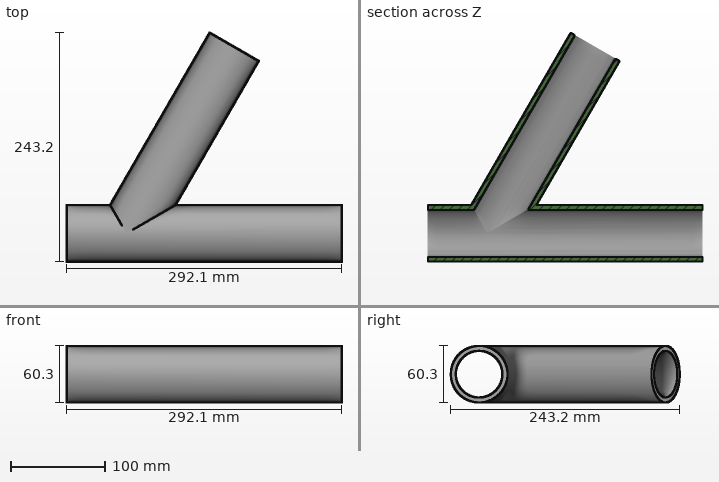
import cadquery as cq
import math

outer_diameter = 60.325
bore_diameter = 49.25

run_length = 292.1

branch_length = 228.6
branch_angle = 60.0
branch_position = 63.5

run_start = cq.Vector(0, 0, 0)
run_direction = cq.Vector(1, 0, 0)
junction = cq.Vector(branch_position, 0, 0)
branch_direction = cq.Vector(
    math.cos(math.radians(branch_angle)),
    math.sin(math.radians(branch_angle)),
    0,
)


def run_cylinder(diameter):
    """Cylinder over the full length of the run."""
    return cq.Workplane(cq.Solid.makeCylinder(diameter / 2, run_length, run_start, run_direction))


def branch_cylinder(diameter):
    """Cylinder from the junction on the run axis to the free end of the branch."""
    return cq.Workplane(cq.Solid.makeCylinder(diameter / 2, branch_length, junction, branch_direction))


body = run_cylinder(outer_diameter).union(branch_cylinder(outer_diameter))

result = body.cut(run_cylinder(bore_diameter)).cut(branch_cylinder(bore_diameter))